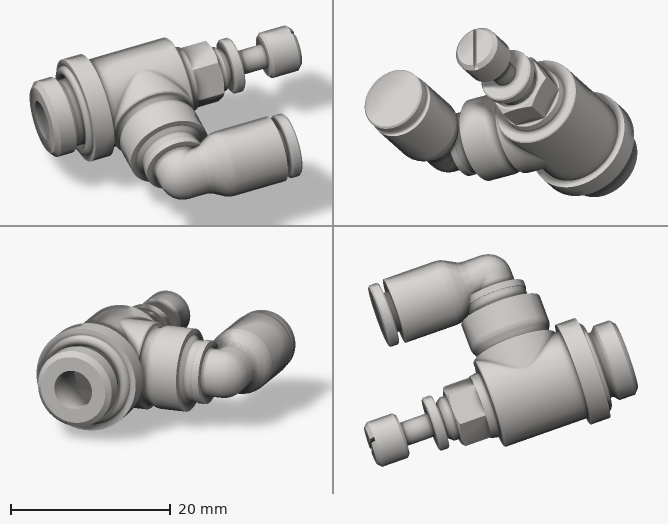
import cadquery as cq


MATCH_TOLERANCE = 0.0005

thread_radius = 4.95
thread_chamfer_height = 0.58
thread_top = 2.63
thread_relief_radius = 4.3
thread_relief_start = 3.2
thread_relief_fillet = 0.27
bore_radius = 2.52
flange_radius = 6.65
flange_bottom = 4.55
flange_top = 7.1
bore_depth = flange_top
oring_tube_radius = 0.68
oring_outer_radius = 5.85
oring_center_radius = oring_outer_radius - oring_tube_radius

body_radius = 5.73
body_top = 18.25
edge_chamfer = 0.15

neck_radius = 4.05
washer_bottom = 18.45
washer_rim_top = 18.72
washer_bottom_radius = 4.25
washer_top_radius = 4.1
hex_bottom = 19.5
hex_top = 23.22
hex_across_corners = 8.2
hex_top_radius = 3.48
hex_chamfer_height = 0.3
guide_radius = 2.85
guide_shoulder = 23.95
guide_top = 24.55
guide_top_radius = 2.4
guide_neck_radius = 1.95

lock_ring_bottom = 24.82
lock_ring_top = 26.1
lock_ring_radius = 3.5
lock_ring_chamfer = 0.17
stem_radius = 1.55
knob_bottom = 29.87
knob_top = 34.1
knob_radius = 2.95
knob_bottom_chamfer = 0.35
knob_top_chamfer = 0.5
slot_width = 0.5
slot_depth = 0.55

branch_y = 12.82
branch_radius = 5.52
branch_end = 5.8
groove_radius = 4.8
groove_root_fillet = 0.27
collar_radius = 5.25
collar_cone_start = 6.45
collar_cone_end = 7.23
collar_cone_start_fillet = 0.82
collar_cone_end_fillet = 1.23
collar_end = 10.9
taper_start_radius = 4.45
taper_end = 11.45
sleeve_radius = 3.9
sleeve_rim_start = 12.55
sleeve_rim_radius = 4.02
sleeve_end = 13.4

port_x = 15.38
elbow_radius = 3.0
elbow_root_radius = 3.15
elbow_root_length = 0.25
port_radius = 4.23
port_cone_bottom = 15.65
port_cone_top = 17.9
port_cone_fillet = 2.18
port_top = 25.37
port_neck_radius = 2.6
release_ring_bottom = 26.12
release_ring_top = 27.45
release_ring_radius = 4.1
release_ring_chamfer = 0.2


def turned_y(points, x=0):
    """Solid turned about the line parallel to Y at the given X, from (radius, y) points."""
    axis_ends = [(0, points[-1][1]), (0, points[0][1])]
    profile = cq.Workplane("XY").polyline(points + axis_ends).close()
    return profile.revolve(360, (0, 0), (0, 1)).translate((x, 0, 0))


def turned_x(points):
    """Solid turned about the branch axis, from (x, radius) points."""
    axis_ends = [(points[-1][0], 0), (points[0][0], 0)]
    profile = cq.Workplane("XY").polyline(points + axis_ends).close()
    return profile.revolve(360, (0, 0), (1, 0)).translate((0, branch_y, 0))


def rod(radius, bottom, top, x=0):
    """Plain cylinder parallel to Y."""
    return turned_y([(radius, bottom), (radius, top)], x)


def chamfered_disc(radius, bottom, top, bottom_chamfer, top_chamfer, x=0):
    """Cylinder parallel to Y with a 45 degree chamfer on each end."""
    return turned_y([
        (radius - bottom_chamfer, bottom),
        (radius, bottom + bottom_chamfer),
        (radius, top - top_chamfer),
        (radius - top_chamfer, top),
    ], x)


def fillet_ring(solid, center, radius, fillet_radius):
    """Fillet the circular edge that has the given center and radius."""
    def is_ring(edge):
        is_circle = edge.geomType() == "CIRCLE"
        return is_circle and all([
            (edge.arcCenter() - cq.Vector(*center)).Length < MATCH_TOLERANCE,
            abs(edge.radius() - radius) < MATCH_TOLERANCE,
        ])

    return solid.edges().filter(is_ring).fillet(fillet_radius)


def threaded_end():
    thread = turned_y([
        (thread_relief_radius, 0),
        (thread_radius, thread_chamfer_height),
        (thread_radius, thread_top),
        (thread_relief_radius, thread_relief_start),
        (thread_relief_radius, flange_bottom),
    ])
    thread = fillet_ring(
        thread, (0, thread_relief_start, 0), thread_relief_radius, thread_relief_fillet
    )
    flange = rod(flange_radius, flange_bottom, flange_top)
    oring = (
        cq.Workplane("XY")
        .center(oring_center_radius, flange_bottom)
        .circle(oring_tube_radius)
        .revolve(360, (-oring_center_radius, 0), (-oring_center_radius, 1))
    )
    return thread.union(flange).union(oring)


def hexagon_nut():
    """Hexagon with two corners on X and its upper corners turned to a cone."""
    corner_radius = hex_across_corners / 2
    nut = (
        cq.Workplane("XZ", origin=(0, hex_bottom, 0))
        .polygon(6, hex_across_corners)
        .extrude(hex_bottom - hex_top)
    )
    envelope = turned_y([
        (corner_radius, hex_bottom),
        (corner_radius, hex_top - hex_chamfer_height),
        (hex_top_radius, hex_top),
    ])
    return nut.intersect(envelope)


def needle_guide():
    washer = turned_y([
        (neck_radius, body_top),
        (neck_radius, washer_bottom),
        (washer_bottom_radius, washer_bottom),
        (washer_bottom_radius, washer_rim_top),
        (washer_top_radius, hex_bottom),
    ])
    guide = turned_y([
        (guide_radius, hex_top),
        (guide_radius, guide_shoulder),
        (guide_top_radius, guide_top),
        (guide_neck_radius, guide_top),
        (guide_neck_radius, lock_ring_bottom),
    ])
    return washer.union(hexagon_nut()).union(guide)


def needle():
    lock_ring = chamfered_disc(
        lock_ring_radius, lock_ring_bottom, lock_ring_top, lock_ring_chamfer, lock_ring_chamfer
    )
    stem = rod(stem_radius, lock_ring_top, knob_bottom)
    knob = chamfered_disc(knob_radius, knob_bottom, knob_top, knob_bottom_chamfer, knob_top_chamfer)
    slot = (
        cq.Workplane("XY")
        .box(slot_width, 2 * slot_depth, 2 * knob_radius)
        .translate((0, knob_top, 0))
    )
    return lock_ring.union(stem).union(knob.cut(slot))


def branch():
    turned = turned_x([
        (0, branch_radius),
        (branch_end - edge_chamfer, branch_radius),
        (branch_end, branch_radius - edge_chamfer),
        (branch_end, groove_radius),
        (collar_cone_start, groove_radius),
        (collar_cone_end, collar_radius),
        (collar_end, collar_radius),
        (collar_end, taper_start_radius),
        (taper_end, sleeve_radius),
        (sleeve_rim_start, sleeve_radius),
        (sleeve_rim_start, sleeve_rim_radius),
        (sleeve_end, sleeve_rim_radius),
        (sleeve_end, elbow_root_radius),
        (sleeve_end + elbow_root_length, elbow_radius),
        (port_x, elbow_radius),
    ])
    rounded_rings = [
        (branch_end, groove_radius, groove_root_fillet),
        (collar_cone_start, groove_radius, collar_cone_start_fillet),
        (collar_cone_end, collar_radius, collar_cone_end_fillet),
    ]
    for x, radius, fillet_radius in rounded_rings:
        turned = fillet_ring(turned, (x, branch_y, 0), radius, fillet_radius)
    return turned


def elbow_corner():
    """Quarter ball that closes the outer corner between the branch and the port."""
    return (
        cq.Workplane("XZ", origin=(port_x, branch_y, 0))
        .moveTo(0, -elbow_radius)
        .threePointArc((elbow_radius, 0), (0, elbow_radius))
        .close()
        .revolve(90, (0, elbow_radius), (0, -elbow_radius))
    )


def port():
    shell = turned_y([
        (elbow_radius, branch_y),
        (elbow_radius, port_cone_bottom),
        (port_radius, port_cone_top),
        (port_radius, port_top),
    ], port_x)
    for y, radius in [(port_cone_bottom, elbow_radius), (port_cone_top, port_radius)]:
        shell = fillet_ring(shell, (port_x, y, 0), radius, port_cone_fillet)
    neck = rod(port_neck_radius, port_top, release_ring_bottom, port_x)
    release_ring = chamfered_disc(
        release_ring_radius, release_ring_bottom, release_ring_top,
        release_ring_chamfer, release_ring_chamfer, port_x,
    )
    return shell.union(neck).union(release_ring)


body = rod(body_radius, flange_top, body_top).faces(">Y").chamfer(edge_chamfer)
bore = rod(bore_radius, 0, bore_depth)

result = (
    threaded_end()
    .union(body)
    .union(branch())
    .union(port())
    .union(elbow_corner())
    .union(needle_guide())
    .union(needle())
    .cut(bore)
)